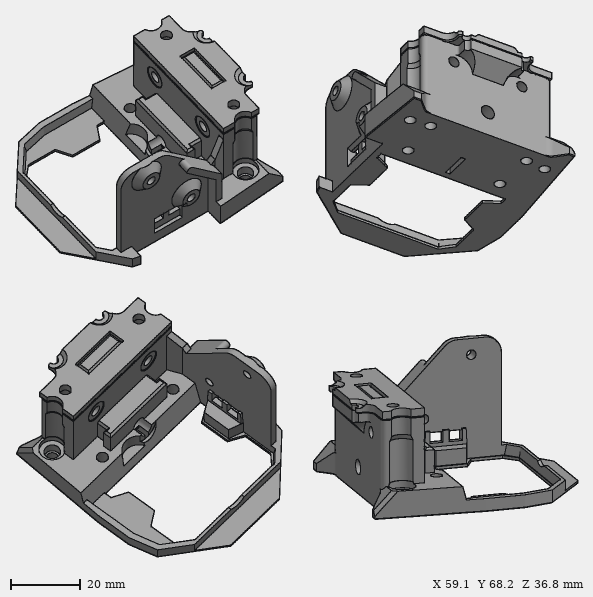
import cadquery as cq

floor_top = 0.9
frame_top = 3.95
deck_top = 8.05
block_top = 27.8
cap_top = 30.55
wall_top = 36.8
bottom_chamfer = 0.3

half_width = 59.1 / 2
lip_half = 10.8
bar_front = 6.7
frame_side_end = 22.55
corner_x = 27.4
corner_y = 13.55
deck_rear = 67.55
deck_slope_start = 62.25
deck_rear_height = 2.5
deck_front_top = 41.4
deck_front_lean = 1.1
deck_right_front = 43.7
notch_front = 16.15
taper_y = 34.35
rear_left_x = -27.0
rear_right_x = 27.6
left_edge_chamfer = 1.1
wing_inner = 25.0
wing_fillet = 3.0
rear_gap_y = 63.4

opening_half = 20.85
opening_front = 8.4
opening_front_half = 17.05
opening_corner_y = 12.15
tab_half = 16.1
tab_tip_front, tab_tip_rear = 24.55, 34.3
tab_root_front, tab_root_rear = 21.75, 36.9
rim_side = 27.0
rim_side_end = 22.55
rim_corner_x, rim_corner_y = 25.15, 14.6
rim_front = 8.25
rim_front_half = 17.4
rim_taper = 10.0

block_half = 21.7
block_front = 50.6
block_fillet = 1.5
lug_rear = 68.2
lug_half = 12.6
lug_fillet = 3.0
lug_tip_fillet = 0.6
block_lug_half = 10.0
block_lug_fillet = 0.8
block_lug_bottom = 24.4
cap_edge_chamfer = 0.4

lug_hole_x = 10.0
lug_hole_d = 2.8
lug_sink_d = 5.6
lug_sink_depth = 1.1
screw_hole_d = 3.4
cap_hole_x, cap_hole_y = 16.2, 58.35
deck_hole_x, deck_hole_y = 15.55, 44.8

well_x, well_y = 22.8, 57.7
well_upper_d = 6.3
well_lower_d = 7.5
well_cone_bottom, well_cone_top = 21.2, 22.6
well_recess_d = 7.8
well_recess_top = 8.6
well_floor = 6.4
well_bore_d = 4.7
well_bore_floor = 3.4

key_length, key_width = 14.9, 4.85
key_y = 59.4
key_top = 30.3
key_chamfer = 0.8
key_gap = 0.15

face_hole_x, face_hole_z = 11.5, 21.6
face_ring_d = 6.95
face_ring_floor_d = 6.5
face_ring_depth = 0.2

bar_half = 12.4
bar_face_y = 44.4
bar_step_y = 47.2
bar_neck_half = 11.05
bar_top = 15.55
bar_chamfer = 0.7
bore_d = 4.4
bore_face_d = 8.0
bore_front_d = 10.0
slot_width = 1.4
slot_rear = 45.0
slot_flare_z = 4.85
scoop_x, scoop_y = -6.8, 38.4
scoop_r = 5.0
scoop_floor = 3.4

wall_inner, wall_outer = 21.35, 23.5
wall_front = 12.35
wall_bend_y = 46.2
wall_fillet = 5.0
valley_y, valley_z = 44.8, 20.05
gusset_inner = 19.5
fin_outer = 27.4
fin_rear = 45.75
fin_tip_y = 33.3
fin_tip_fillet = 1.15
fin_drop = 3.2
gusset_top = 25.5
relief_inner = 22.35
relief_outer_z = 10.4
boss_places = [(21.55, 31.9), (35.9, 13.9)]
boss_base_r, boss_tip_r = 5.3, 3.0
boss_hole_d = 2.8

catch_inner = 16.7
catch_tip_front, catch_tip_rear = 24.6, 33.9
catch_root_front, catch_root_rear = 22.9, 36.2
catch_top = 5.5
rib_inner = 20.6
rib_top = 10.2
back_front, back_rear = 23.1, 36.05
ribs_front, ribs_rear = 23.4, 35.7
window_bottom, window_top = 6.7, 9.7
windows = [(24.5, 28.5), (30.4, 34.35)]


def box(x0, x1, y0, y1, z0, z1):
    return cq.Workplane("XY").box(x1 - x0, y1 - y0, z1 - z0, centered=False).translate((x0, y0, z0))


def prism_z(points, z0, z1):
    return cq.Workplane("XY").workplane(offset=z0).polyline(points).close().extrude(z1 - z0)


def prism_x(points, x0, x1):
    return cq.Workplane("YZ").workplane(offset=x0).polyline(points).close().extrude(x1 - x0)


def cylinder_z(x, y, diameter, z0, z1):
    return cq.Workplane("XY").workplane(offset=z0).center(x, y).circle(diameter / 2).extrude(z1 - z0)


def cylinder_y(x, z, diameter, y0, y1):
    return cq.Workplane("XZ", origin=(x, y0, z)).circle(diameter / 2).extrude(y0 - y1)


def cone(start, direction, r0, r1, height):
    return cq.Workplane(cq.Solid.makeCone(r0, r1, height, cq.Vector(*start), cq.Vector(*direction)))


def frame_body():
    """Tapered outline with two rear wings; low at the front, raised to the deck at the rear."""
    outline = [
        (-lip_half, 0), (lip_half, 0), (corner_x, corner_y), (half_width, frame_side_end),
        (half_width, deck_right_front), (rear_right_x, deck_rear), (wing_inner, deck_rear),
        (wing_inner - deck_rear + rear_gap_y, rear_gap_y),
        (-wing_inner + deck_rear - rear_gap_y, rear_gap_y),
        (-wing_inner, deck_rear), (rear_left_x, deck_rear),
        (-half_width, taper_y), (-half_width, frame_side_end), (-corner_x, corner_y),
    ]
    body = prism_z(outline, 0, deck_top)
    inner_corners = cq.selectors.BoxSelector(
        (-block_half, rear_gap_y - 0.7, -0.7), (block_half, rear_gap_y + 0.7, deck_top + 0.7))
    body = body.edges("|Z").edges(inner_corners).fillet(wing_fillet)
    body = body.faces("<Z").edges().chamfer(bottom_chamfer)

    lean_per_height = deck_front_lean / (deck_top - frame_top)
    side_profile = [
        (0, 0), (0, floor_top), (bar_front, floor_top), (bar_front, frame_top),
        (deck_front_top - deck_front_lean, frame_top), (deck_front_top, deck_top),
        (deck_slope_start, deck_top), (deck_rear, deck_rear_height), (deck_rear, 0),
    ]
    body = body.intersect(prism_x(side_profile, -half_width, half_width))
    slope_middle_y = (deck_slope_start + deck_rear) / 2
    body = body.edges(cq.selectors.BoxSelector(
        (-half_width, slope_middle_y - 0.7, deck_rear_height), (-corner_x + 1.35, slope_middle_y + 0.7, deck_top),
    )).chamfer(left_edge_chamfer)

    deck_front_foot = deck_front_top - (deck_top - bottom_chamfer) * lean_per_height
    recess = (
        cq.Workplane("XY").workplane(offset=floor_top)
        .polyline([
            (-rim_side, deck_front_top), (-rim_side, rim_side_end), (-rim_corner_x, rim_corner_y),
            (-rim_front_half, rim_front), (rim_front_half, rim_front),
            (rim_corner_x, rim_corner_y), (rim_corner_x, deck_front_top),
        ]).close().extrude(frame_top - floor_top, taper=-rim_taper)
    )
    under_slope = prism_x([
        (0, 0), (deck_front_foot, 0), (deck_front_foot, bottom_chamfer), (deck_front_top, deck_top), (0, deck_top),
    ], -half_width, wall_inner)
    body = body.cut(recess.intersect(under_slope))
    right_side = [
        (opening_front_half, opening_front), (opening_half, opening_corner_y),
        (opening_half, tab_root_front), (tab_half, tab_tip_front), (tab_half, tab_tip_rear),
        (opening_half, tab_root_rear),
    ]
    left_side = [(-x, y) for x, y in reversed(right_side)]
    rear_side = [(-opening_half, deck_front_top), (wall_inner, deck_front_top), (wall_inner, tab_root_rear)]
    opening = prism_z(right_side + rear_side[::-1] + left_side, 0, deck_top)
    body = body.cut(opening.intersect(under_slope))
    return body.cut(box(wall_outer, half_width, notch_front, deck_right_front, 0, deck_top))


def lug_outline(half, root_fillet, z0, z1):
    """Rectangle with a rear lug blended into its rear edge."""
    points = [
        (-block_half, block_front), (block_half, block_front), (block_half, rear_gap_y),
        (half, rear_gap_y), (half, lug_rear), (-half, lug_rear),
        (-half, rear_gap_y), (-block_half, rear_gap_y),
    ]
    solid = prism_z(points, z0, z1)
    roots = cq.selectors.BoxSelector((-half - 0.7, rear_gap_y - 0.7, z0), (half + 0.7, rear_gap_y + 0.7, z1))
    return solid.edges("|Z").edges(roots).fillet(root_fillet)


def tower_block():
    block = box(-block_half, block_half, block_front, rear_gap_y, 0, block_top)
    block = block.edges("|Z and >Y").fillet(block_fillet)
    lug_bottom = block_lug_bottom - (lug_rear - rear_gap_y)
    lug = lug_outline(block_lug_half, block_lug_fillet, lug_bottom, block_top)
    lug = lug.intersect(prism_x([
        (block_front + block_fillet, lug_bottom), (rear_gap_y, lug_bottom), (lug_rear, block_lug_bottom),
        (lug_rear, block_top), (block_front + block_fillet, block_top),
    ], -block_half + block_fillet, block_half - block_fillet))
    arch_d = 2 * (block_lug_bottom - lug_bottom)
    for side in (-1, 1):
        lug = lug.cut(cylinder_y(side * block_lug_half, lug_bottom, arch_d, rear_gap_y, lug_rear))
    block = block.union(lug)
    for side in (-1, 1):
        block = block.cut(cylinder_z(side * lug_hole_x, lug_rear, lug_hole_d, 0, block_top))
    key = box(-key_length / 2, key_length / 2, key_y - key_width / 2, key_y + key_width / 2, deck_top, key_top)
    return block.union(key.faces(">Z").edges().chamfer(key_chamfer))


def t_bar():
    points = [
        (-bar_half, bar_face_y), (bar_half, bar_face_y), (bar_half, bar_step_y), (bar_neck_half, bar_step_y),
        (bar_neck_half, block_front), (-bar_neck_half, block_front), (-bar_neck_half, bar_step_y),
        (-bar_half, bar_step_y),
    ]
    bar = prism_z(points, deck_top, bar_top)
    return bar.faces(">Z").edges("not >Y").chamfer(bar_chamfer)


def side_wall():
    crest_y = valley_y - (wall_top - valley_z)
    profile = [
        (wall_front, 0), (wall_bend_y, 0), (wall_bend_y, valley_z + wall_bend_y - valley_y),
        (valley_y, valley_z), (crest_y, wall_top), (wall_front, wall_top),
    ]
    wall = prism_x(profile, wall_inner, wall_outer).edges("|X and >Z").fillet(wall_fillet)

    boss_height = boss_base_r - boss_tip_r
    for y, z in boss_places:
        wall = wall.union(cone((wall_outer, y, z), (1, 0, 0), boss_base_r, boss_tip_r, boss_height))
    wall = wall.intersect(box(0, half_width, 0, lug_rear, 0, wall_top))

    plan = [
        (wall_inner, wall_bend_y), (wall_outer, wall_bend_y), (block_half, block_front),
        (block_half, block_front + block_fillet), (gusset_inner, block_front),
    ]
    gusset_rear = block_front + block_fillet
    rise = prism_x([
        (valley_y, 0), (gusset_rear, 0), (gusset_rear, gusset_top),
        (block_front, gusset_top), (valley_y, valley_z),
    ], gusset_inner, wall_outer)
    wall = wall.union(prism_z(plan, 0, block_top).intersect(rise))

    slope_sum = valley_y + valley_z
    lower_sum = slope_sum - fin_drop
    fin = prism_x([
        (deck_right_front, 0), (fin_rear, 0), (fin_rear, slope_sum - fin_rear),
        (fin_tip_y, slope_sum - fin_tip_y), (fin_tip_y, lower_sum - fin_tip_y),
        (deck_right_front, lower_sum - deck_right_front),
    ], wall_outer, fin_outer)
    fin = fin.edges("|X and >Z").fillet(fin_tip_fillet)
    wall = wall.union(fin)
    for y, z in boss_places:
        hole = cq.Workplane("YZ", origin=(wall_inner, y, z)).circle(boss_hole_d / 2)
        wall = wall.cut(hole.extrude(half_width - wall_inner))
    for y0, y1 in windows:
        wall = wall.cut(box(wall_inner, wall_outer, y0, y1, window_bottom, window_top))

    relief = cq.Workplane("XZ", origin=(0, windows[-1][1], 0)).polyline([
        (relief_inner, floor_top), (relief_inner, window_top), (wall_outer, relief_outer_z),
        (fin_outer, relief_outer_z + fin_outer - wall_outer), (fin_outer, floor_top),
    ]).close().extrude(windows[-1][1] - windows[0][0])
    return wall.cut(relief)


def catch():
    body = prism_z([
        (catch_inner, catch_tip_front), (wall_inner, catch_root_front),
        (wall_inner, catch_root_rear), (catch_inner, catch_tip_rear),
    ], 0, catch_top)
    back = prism_x([
        (back_front, catch_top), (back_rear, catch_top), (ribs_rear, rib_top), (ribs_front, rib_top),
    ], rib_inner, wall_inner)
    for y0, y1 in windows:
        back = back.cut(box(rib_inner, wall_inner, y0, y1, window_bottom, rib_top))
    return body.union(back)


def well_cutter(side):
    x = side * well_x
    cone_height = well_cone_top - well_cone_bottom
    cutter = cylinder_z(x, well_y, well_lower_d, well_floor, well_cone_bottom)
    cutter = cutter.union(cylinder_z(x, well_y, well_recess_d, well_floor, well_recess_top))
    cutter = cutter.union(cone(
        (x, well_y, well_cone_bottom), (0, 0, 1), well_lower_d / 2, well_upper_d / 2, cone_height))
    cutter = cutter.union(cylinder_z(x, well_y, well_upper_d, well_cone_top, cap_top))
    cutter = cutter.union(cylinder_z(x, well_y, well_bore_d, well_bore_floor, well_floor))
    return cutter.union(cylinder_z(x, well_y, screw_hole_d, 0, well_bore_floor))


def mount():
    body = frame_body().union(tower_block()).union(t_bar()).union(side_wall()).union(catch())
    for side in (-1, 1):
        body = body.cut(well_cutter(side))
        body = body.cut(cylinder_z(side * deck_hole_x, deck_hole_y, screw_hole_d, 0, deck_top))
        body = body.cut(cylinder_z(side * cap_hole_x, cap_hole_y, screw_hole_d, 0, block_top))
        face_x = side * face_hole_x
        body = body.cut(cylinder_y(face_x, face_hole_z, screw_hole_d, block_front, lug_rear))
        body = body.cut(cone(
            (face_x, block_front, face_hole_z), (0, 1, 0), face_ring_d / 2, face_ring_floor_d / 2, face_ring_depth))

    body = body.cut(cylinder_y(0, deck_top, bore_d, 0, lug_rear))
    body = body.cut(cylinder_y(0, deck_top, bore_face_d, opening_front, deck_front_top))
    body = body.cut(cylinder_y(0, deck_top, bore_front_d, 0, opening_front))
    slot_profile = [
        (deck_front_top, 0), (slot_rear + slot_flare_z, 0), (slot_rear, slot_flare_z), (slot_rear, deck_top),
        (deck_front_top, deck_top),
    ]
    body = body.cut(prism_x(slot_profile, -slot_width / 2, slot_width / 2))
    return body.cut(cylinder_z(scoop_x, scoop_y, 2 * scoop_r, scoop_floor, deck_top))


def cap():
    plate = lug_outline(lug_half, lug_fillet, block_top, cap_top)
    plate = plate.edges("|Z and >Y").fillet(lug_tip_fillet)
    for side in (-1, 1):
        plate = plate.cut(well_cutter(side))
    plate = plate.faces("<Z").edges().chamfer(cap_edge_chamfer)
    for side in (-1, 1):
        plate = plate.cut(cylinder_z(side * cap_hole_x, cap_hole_y, screw_hole_d, block_top, cap_top))
        plate = plate.cut(cylinder_z(side * lug_hole_x, lug_rear, lug_hole_d, block_top, cap_top))
        sink_r = lug_sink_d / 2
        plate = plate.cut(cone(
            (side * lug_hole_x, lug_rear, cap_top - lug_sink_depth), (0, 0, 1),
            sink_r, sink_r + lug_sink_depth, lug_sink_depth))
    window_x = key_length / 2 + key_gap
    window_y = key_width / 2 + key_gap
    return plate.cut(box(-window_x, window_x, key_y - window_y, key_y + window_y, block_top, cap_top))


mount_body = mount()
cap_body = cap()
result = cq.Compound.makeCompound([mount_body.val(), cap_body.val()])